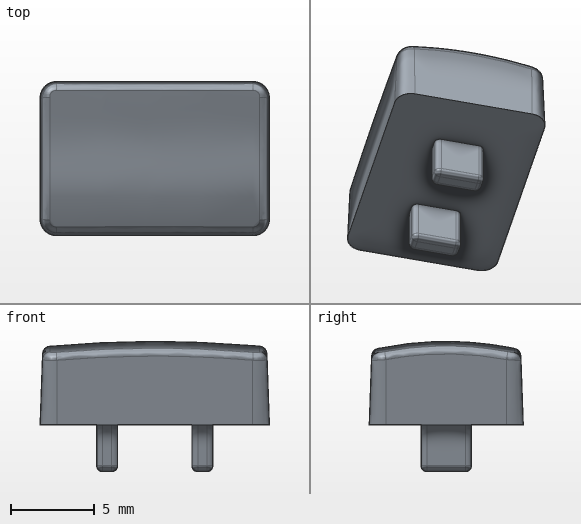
import cadquery as cq
import math

length = 13.73
width = 9.23
corner_radius = 1.0
draft_angle = 2.0

crown_height = 5.0
crown_radius_along_x = 70.02
crown_radius_along_y = 20.05
crown_edge_radius = 0.5

leg_thickness = 1.25
leg_width = 3.02
leg_length = 2.8
leg_spacing = 5.7
leg_edge_radius = 0.36


def drafted_block():
    """Block whose walls and rounded corners lean inward above the base at Z = 0."""
    return (
        cq.Workplane("XY")
        .sketch()
        .rect(length, width)
        .vertices()
        .fillet(corner_radius)
        .finalize()
        .extrude(crown_height, taper=draft_angle)
    )


def crown_envelope():
    """Solid under the crown: an arched YZ profile swung about an axis parallel to Y."""
    half_width = width
    half_swing = math.degrees(math.asin(length / crown_radius_along_x))
    edge_drop = crown_radius_along_y - math.sqrt(crown_radius_along_y**2 - half_width**2)
    floor = -crown_height

    axis_height = crown_height - crown_radius_along_x
    profile = (
        cq.Workplane("YZ")
        .moveTo(-half_width, floor)
        .lineTo(-half_width, crown_height - edge_drop)
        .threePointArc((0, crown_height), (half_width, crown_height - edge_drop))
        .lineTo(half_width, floor)
        .close()
    )
    swing = profile.revolve(2 * half_swing, (0, axis_height), (1, axis_height))
    return swing.rotate((0, 0, axis_height), (0, 1, axis_height), -half_swing)


def cap():
    """Drafted block trimmed to the crown, with the crown's rim rounded over."""
    block = drafted_block().intersect(crown_envelope())
    return block.faces(">Z").edges().fillet(crown_edge_radius)


def leg(x_center):
    """Leg hanging from the base, rounded along its upright edges and around its tip."""
    return (
        cq.Workplane("XY")
        .center(x_center, 0)
        .rect(leg_thickness, leg_width)
        .extrude(-leg_length)
        .edges("|Z or <Z")
        .fillet(leg_edge_radius)
    )


result = cap()
for side in (-1, 1):
    result = result.union(leg(side * leg_spacing / 2))